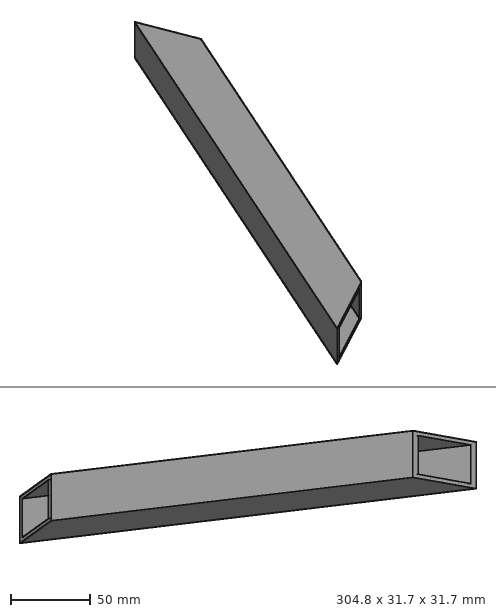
import cadquery as cq

length = 304.8
side = 31.7
wall = 2.7
miter_run = side

half_length = length / 2
half_side = side / 2

bar = (
    cq.Workplane("XY")
    .workplane(offset=-half_side)
    .polyline([
        (-half_length, -half_side),
        (half_length, -half_side),
        (half_length - miter_run, half_side),
        (-half_length + miter_run, half_side),
    ])
    .close()
    .extrude(side)
)

bore_side = side - 2 * wall
bore = cq.Workplane("XY").box(length, bore_side, bore_side)

result = bar.cut(bore)